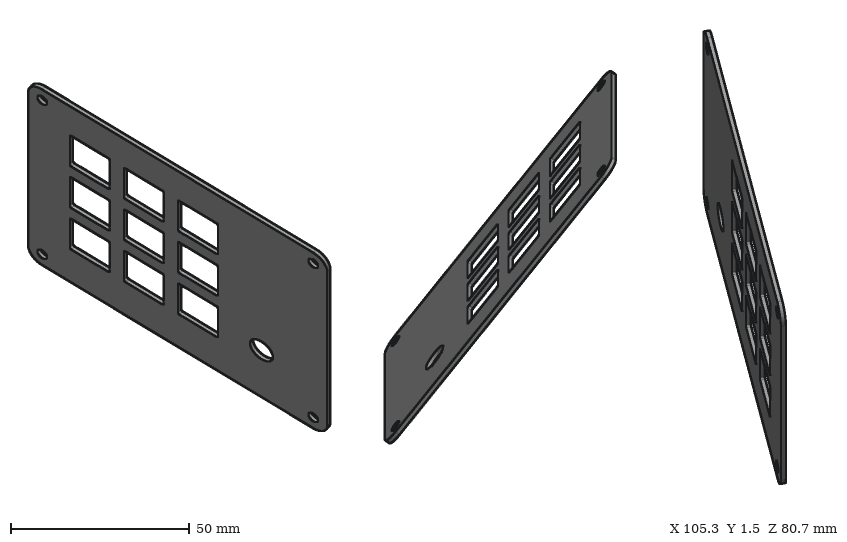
import cadquery as cq

plate_width = 105.3
plate_height = 80.7
plate_thickness = 1.5
corner_radius = 5.0

screw_hole_diameter = 3.4
screw_spacing_x = plate_width - 2 * corner_radius
screw_spacing_z = plate_height - 2 * corner_radius

key_columns = 3
key_rows = 3
key_pitch = 19.1
key_opening = 14.0
key_corner_radius = 0.5
key_grid_center = (-11.9, 1.0)

knob_hole_diameter = 8.0
knob_center = (29.5, -18.8)


def centered_prism(sketch):
    """Extrude an XZ sketch by the plate thickness, centred on Y = 0."""
    return sketch.extrude(plate_thickness / 2, both=True)


def rounded_plate():
    blank = centered_prism(cq.Workplane("XZ").rect(plate_width, plate_height))
    return blank.edges("|Y").fillet(corner_radius)


def screw_holes():
    corners = cq.Workplane("XZ").rect(screw_spacing_x, screw_spacing_z, forConstruction=True).vertices()
    return centered_prism(corners.circle(screw_hole_diameter / 2))


def key_openings():
    grid = (
        cq.Workplane("XZ")
        .center(*key_grid_center)
        .rarray(key_pitch, key_pitch, key_columns, key_rows)
    )
    return centered_prism(grid.rect(key_opening, key_opening)).edges("|Y").fillet(key_corner_radius)


def knob_hole():
    return centered_prism(cq.Workplane("XZ").center(*knob_center).circle(knob_hole_diameter / 2))


result = rounded_plate().cut(screw_holes()).cut(key_openings()).cut(knob_hole())